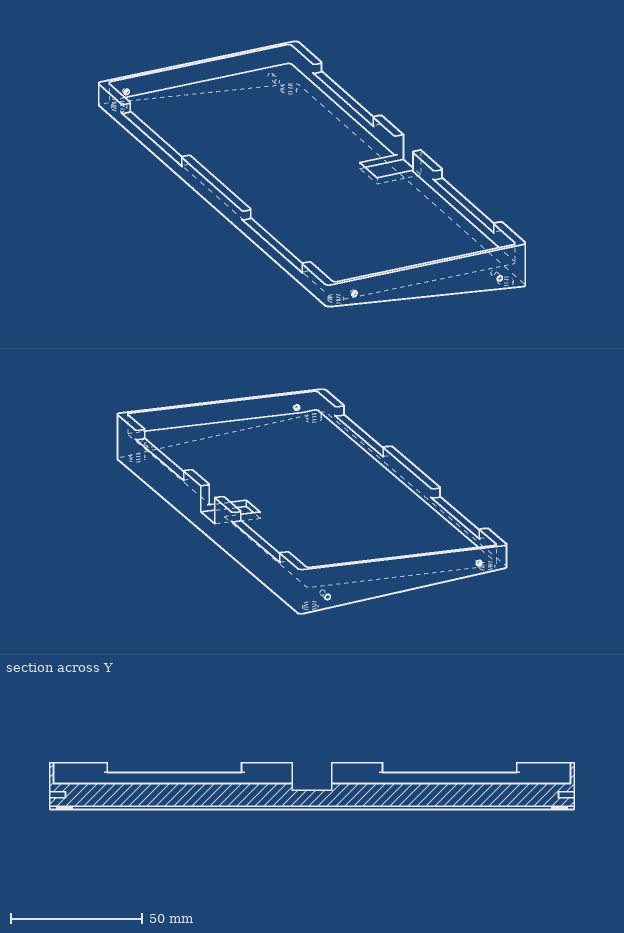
import cadquery as cq
import math

LENGTH = 199.86
WIDTH = 84.8
REAR_HEIGHT = 17.94
TILT = 6.0
SLOPE = math.tan(math.radians(TILT))
FRONT_HEIGHT = REAR_HEIGHT - WIDTH * SLOPE
CORNER_RADIUS = 1.8

SIDE_WALL = 1.6
END_WALL = 3.75
CAVITY_DEPTH = 7.95
BASE_THICKNESS = 2.0
CAVITY_RADIUS = 1.5

OPENING_INNER_X = 26.85
OPENING_OUTER_X = 77.9
OPENING_DEPTH = 3.7
TAB_RADIUS = 1.0

POCKET_WIDTH = 15.0
POCKET_LENGTH = 18.5
POCKET_STEP = 2.5
POCKET_MOUTH_RADIUS = 1.0

HOLE_DIAMETER = 2.08
FRONT_HOLE_INSET = 11.8
FRONT_HOLE_DEPTH = 5.8
REAR_HOLE_INSET = 11.5
REAR_HOLE_DEPTH = 12.2
HOLE_LENGTH = 6.0

FOOT_DIAMETER = 6.0
FOOT_INSET_X = 5.7
FOOT_INSET_Y = 6.5
FOOT_DEPTH = 1.0

FRONT_Y = -WIDTH / 2
REAR_Y = WIDTH / 2

EDGE_REACH = 0.1


def underside_z(y):
    """Height of the sloping underside at a given y."""
    return -FRONT_HEIGHT - (y - FRONT_Y) * SLOPE


def side_profile(points):
    """Extrude a (y, z) outline along the whole length."""
    return cq.Workplane("YZ").polyline(points).close().extrude(LENGTH / 2, both=True)


def wedge_body():
    outline = [
        (FRONT_Y, 0),
        (REAR_Y, 0),
        (REAR_Y, -REAR_HEIGHT),
        (FRONT_Y, -FRONT_HEIGHT),
    ]
    return side_profile(outline).edges("|Z").fillet(CORNER_RADIUS)


def cavity():
    """Level floor, except at the front where it follows the underside."""
    base_rise = BASE_THICKNESS / math.cos(math.radians(TILT))
    floor_break_y = FRONT_Y + (CAVITY_DEPTH + base_rise - FRONT_HEIGHT) / SLOPE
    outline = [
        (FRONT_Y, 0),
        (REAR_Y, 0),
        (REAR_Y, -CAVITY_DEPTH),
        (floor_break_y, -CAVITY_DEPTH),
        (FRONT_Y, underside_z(FRONT_Y) + base_rise),
    ]
    block = (
        cq.Workplane("XY")
        .rect(LENGTH - 2 * SIDE_WALL, WIDTH - 2 * END_WALL)
        .extrude(-REAR_HEIGHT)
        .edges("|Z")
        .fillet(CAVITY_RADIUS)
    )
    return block.intersect(side_profile(outline))


def cut_rim_openings(part):
    opening_width = OPENING_OUTER_X - OPENING_INNER_X
    opening_centre_x = (OPENING_OUTER_X + OPENING_INNER_X) / 2
    centres = [(-opening_centre_x, 0), (opening_centre_x, 0)]
    openings = cq.Workplane("XY").pushPoints(centres).rect(opening_width, WIDTH).extrude(-OPENING_DEPTH)
    return part.cut(openings)


def round_upright_edges(part, x, y_min, y_max, depth, radius):
    """Round the upright edges at one x that lie between two y values and within a depth."""
    edge_box = cq.selectors.BoxSelector(
        (x - EDGE_REACH, y_min - EDGE_REACH, -depth),
        (x + EDGE_REACH, y_max + EDGE_REACH, 0),
    )
    return part.edges("|Z").edges(edge_box).fillet(radius)


def round_tab_ends(part):
    """Round the upright edges beside the rim openings."""
    for x in (-OPENING_OUTER_X, -OPENING_INNER_X, OPENING_INNER_X, OPENING_OUTER_X):
        part = round_upright_edges(part, x, FRONT_Y, REAR_Y, OPENING_DEPTH, TAB_RADIUS)
    return part


def cable_pocket():
    return (
        cq.Workplane("XY")
        .center(0, REAR_Y - POCKET_LENGTH / 2)
        .rect(POCKET_WIDTH, POCKET_LENGTH)
        .extrude(-CAVITY_DEPTH - POCKET_STEP)
    )


def round_pocket_mouth(part):
    """Round the inner upright edges where the pocket passes through the rear wall."""
    inner_y = REAR_Y - END_WALL
    for x in (-POCKET_WIDTH / 2, POCKET_WIDTH / 2):
        part = round_upright_edges(part, x, inner_y, inner_y, CAVITY_DEPTH, POCKET_MOUTH_RADIUS)
    return part


def side_hole(side, y, z):
    """Hole running inward from the left (-1) or right (+1) side."""
    start = cq.Vector(side * LENGTH / 2, y, z)
    return cq.Solid.makeCylinder(HOLE_DIAMETER / 2, HOLE_LENGTH, start, cq.Vector(-side, 0, 0))


def foot_recess(x, y):
    """Recess square to the underside."""
    tilt = math.radians(TILT)
    inward = cq.Vector(0, math.sin(tilt), math.cos(tilt))
    return cq.Solid.makeCylinder(FOOT_DIAMETER / 2, FOOT_DEPTH, cq.Vector(x, y, underside_z(y)), inward)


def build():
    part = wedge_body().cut(cavity())
    part = cut_rim_openings(part)
    part = round_tab_ends(part)
    part = part.cut(cable_pocket())
    part = round_pocket_mouth(part)
    for side in (-1, 1):
        part = part.cut(side_hole(side, FRONT_Y + FRONT_HOLE_INSET, -FRONT_HOLE_DEPTH))
        part = part.cut(side_hole(side, REAR_Y - REAR_HOLE_INSET, -REAR_HOLE_DEPTH))
        for y in (FRONT_Y + FOOT_INSET_Y, REAR_Y - FOOT_INSET_Y):
            part = part.cut(foot_recess(side * (LENGTH / 2 - FOOT_INSET_X), y))
    return part


result = build()